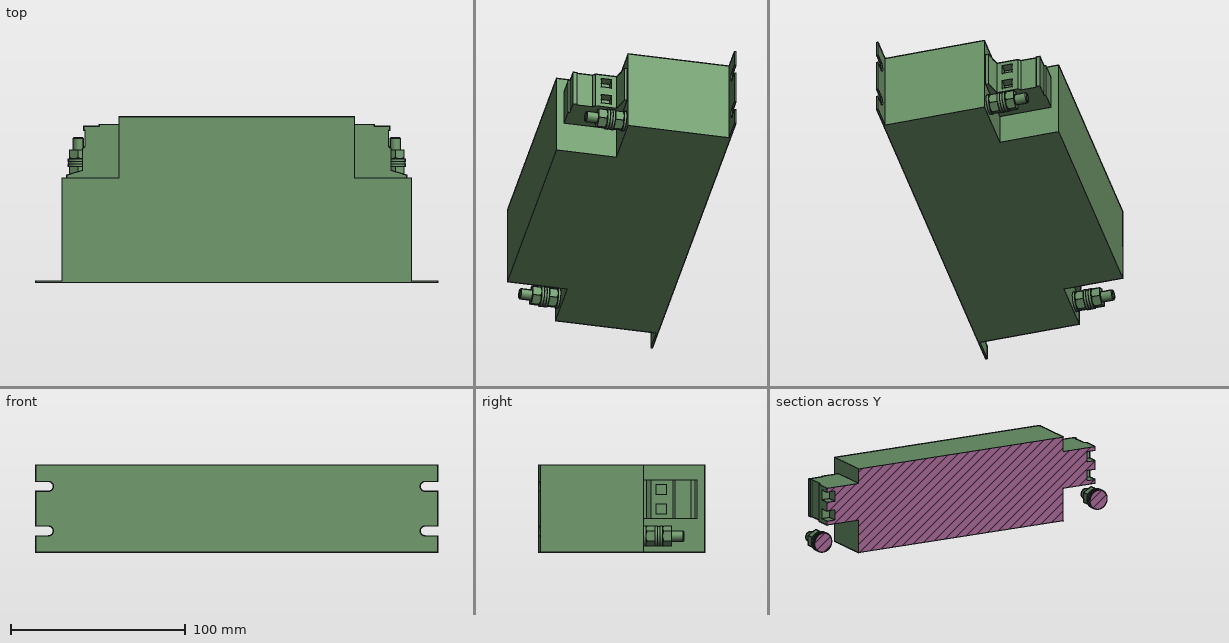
import cadquery as cq

HEIGHT = 50.0
BASE_LENGTH = 200.0
REAR_LENGTH = 135.0
SHOULDER_Y = 60.0
REAR_Y = 95.0

PLATE_LENGTH = 230.0
PLATE_THICKNESS = 1.0
SLOT_WIDTH = 5.5
SLOT_DEPTH = 10.0
SLOT_SPACING = 25.5

BLOCK_BOTTOM_Z = 19.3
BLOCK_HEIGHT = 22.1
BLOCK_TOP_Y = 90.5
CAP_X = 78.7
LIP_X = 87.6
LIP_TOP_Y = 89.5
LIP_BOTTOM_Y = 87.2
UPPER_FACE_X = 86.9
UPPER_FACE_BOTTOM_Y = 78.0
WIRE_FACE_X = 88.3
WIRE_FACE_TOP_Y = 76.7
WIRE_FACE_BOTTOM_Y = 64.2
FOOT_X = 97.3
FOOT_Y = 61.6

OPENING_LENGTH = 6.0
OPENING_HEIGHT = 5.8
OPENING_DEPTH = 5.0
OPENING_SPACING = 11.2
OPENING_Y = 70.2

STUD_X = 90.7
STUD_Z = 9.3
STUD_DIAMETER = 6.0
STUD_END_Y = 83.0
STUD_CHAMFER = 0.6
NUT_ACROSS_FLATS = 10.0
NUT_THICKNESS = 5.1
NUT_CHAMFER_HEIGHT = 0.7
WASHER_DIAMETER = 11.6
SPRING_WASHER_DIAMETER = 11.2
WASHER_THICKNESS = 1.5
BASE_WASHER_THICKNESS = 1.3


def box(length, y_start, y_end, z_bottom, height):
    """Box centred on X = 0."""
    return cq.Workplane("XY").box(
        length, y_end - y_start, height, centered=(True, False, False)
    ).translate((0, y_start, z_bottom))


def make_housing():
    base = box(BASE_LENGTH, 0, SHOULDER_Y, 0, HEIGHT)
    return base.union(box(REAR_LENGTH, 0, REAR_Y, 0, HEIGHT))


def make_plate():
    plate = box(PLATE_LENGTH, 0, PLATE_THICKNESS, 0, HEIGHT)
    slot_centers = [
        (end * PLATE_LENGTH / 2, HEIGHT / 2 + side * SLOT_SPACING / 2)
        for end in (-1, 1)
        for side in (-1, 1)
    ]
    slots = (
        cq.Workplane("XZ")
        .pushPoints(slot_centers)
        .slot2D(2 * SLOT_DEPTH, SLOT_WIDTH)
        .extrude(-PLATE_THICKNESS)
    )
    return plate.cut(slots)


def make_terminal_block():
    """Terminal block on the -X shoulder."""
    block = (
        cq.Workplane("XY", origin=(0, 0, BLOCK_BOTTOM_Z))
        .moveTo(-REAR_LENGTH / 2, SHOULDER_Y)
        .lineTo(-REAR_LENGTH / 2, BLOCK_TOP_Y)
        .lineTo(-CAP_X, BLOCK_TOP_Y)
        .lineTo(-CAP_X, LIP_TOP_Y)
        .lineTo(-LIP_X, LIP_TOP_Y)
        .lineTo(-LIP_X, LIP_BOTTOM_Y)
        .lineTo(-UPPER_FACE_X, LIP_BOTTOM_Y)
        .lineTo(-UPPER_FACE_X, UPPER_FACE_BOTTOM_Y)
        .lineTo(-WIRE_FACE_X, WIRE_FACE_TOP_Y)
        .lineTo(-WIRE_FACE_X, WIRE_FACE_BOTTOM_Y)
        .lineTo(-FOOT_X, FOOT_Y)
        .lineTo(-FOOT_X, SHOULDER_Y)
        .close()
        .extrude(BLOCK_HEIGHT)
    )
    middle_z = BLOCK_BOTTOM_Z + BLOCK_HEIGHT / 2
    openings = (
        cq.Workplane("YZ", origin=(-WIRE_FACE_X, OPENING_Y, middle_z))
        .rarray(1, OPENING_SPACING, 1, 2)
        .rect(OPENING_LENGTH, OPENING_HEIGHT)
        .extrude(OPENING_DEPTH)
    )
    return block.cut(openings)


def stud_plane(y):
    """Workplane on the stud axis at a given Y, facing +Y."""
    return cq.Workplane(cq.Plane((-STUD_X, y, STUD_Z), xDir=(0, 0, 1), normal=(0, 1, 0)))


def make_washer(y, diameter, thickness=WASHER_THICKNESS):
    return stud_plane(y).circle(diameter / 2).extrude(thickness)


def make_nut(y):
    """Hexagon nut with corners up and down, its corners chamfered on the -Y face."""
    corner_diameter = 2 * NUT_ACROSS_FLATS / 3 ** 0.5
    nut = stud_plane(y).polygon(6, corner_diameter).extrude(NUT_THICKNESS)
    corner_depth = (corner_diameter - NUT_ACROSS_FLATS) / 2
    envelope = (
        stud_plane(y)
        .circle(corner_diameter / 2)
        .extrude(NUT_THICKNESS)
        .faces("<Y")
        .chamfer(NUT_CHAMFER_HEIGHT, corner_depth)
    )
    return nut.intersect(envelope)


def make_earth_stud():
    """Stud with nuts and washers on the -X shoulder."""
    stud = (
        stud_plane(SHOULDER_Y)
        .circle(STUD_DIAMETER / 2)
        .extrude(STUD_END_Y - SHOULDER_Y)
        .faces(">Y")
        .chamfer(STUD_CHAMFER)
    )
    y = SHOULDER_Y
    stud = stud.union(make_washer(y, WASHER_DIAMETER, BASE_WASHER_THICKNESS))
    y += BASE_WASHER_THICKNESS
    stud = stud.union(make_nut(y))
    y += NUT_THICKNESS
    for diameter in (WASHER_DIAMETER, SPRING_WASHER_DIAMETER, WASHER_DIAMETER):
        stud = stud.union(make_washer(y, diameter))
        y += WASHER_THICKNESS
    return stud.union(make_nut(y))


result = make_housing().union(make_plate())
for fitting in (make_terminal_block(), make_earth_stud()):
    result = result.union(fitting).union(fitting.mirror("YZ"))